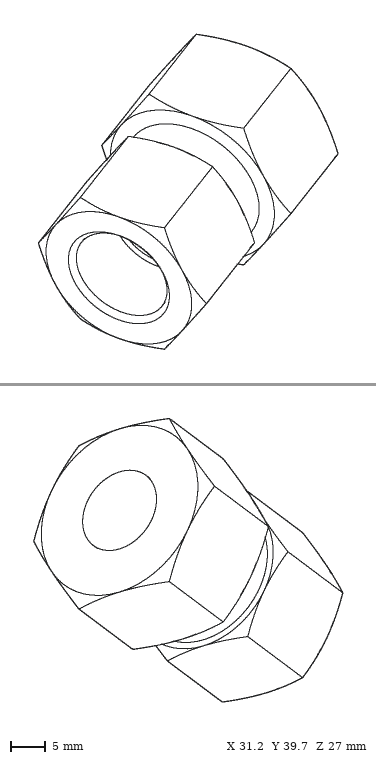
import cadquery as cq
import math

body_across_flats = 24.0
nut_across_flats = 27.0
hex_length = 17.0
hex_sides = 6
neck_length = 5.7
neck_diameter = 22.0
hex_chamfer_angle = 30.0

through_diameter = 12.75
socket_diameter = 14.95
socket_depth = 12.0
mouth_diameter = 16.66
mouth_chamfer_angle = 45.0

nut_start = hex_length + neck_length
total_length = nut_start + hex_length


def revolve_about_y(profile):
    """Solid of revolution about Y from (radius, y) points."""
    return cq.Workplane("XY").polyline(profile).close().revolve(360, (0, 0, 0), (0, 1, 0))


def cylinder_along_y(diameter, start, length):
    """Round solid running from start towards +Y."""
    return cq.Workplane("XZ", origin=(0, start, 0)).circle(diameter / 2).extrude(-length)


def chamfered_hexagon(across_flats, start):
    """Hexagonal prism with corners on +X and -X, conically chamfered at both ends."""
    flat_radius = across_flats / 2
    corner_radius = flat_radius / math.cos(math.pi / hex_sides)
    prism = (
        cq.Workplane("XZ", origin=(0, start, 0))
        .polygon(hex_sides, 2 * corner_radius)
        .extrude(-hex_length)
    )
    chamfer_depth = (corner_radius - flat_radius) * math.tan(math.radians(hex_chamfer_angle))
    end = start + hex_length
    envelope = revolve_about_y([
        (0, start),
        (flat_radius, start),
        (corner_radius, start + chamfer_depth),
        (corner_radius, end - chamfer_depth),
        (flat_radius, end),
        (0, end),
    ])
    return prism.intersect(envelope)


def stepped_bore():
    """Through bore with a wider socket and chamfered mouth at the front."""
    mouth_radius = mouth_diameter / 2
    socket_radius = socket_diameter / 2
    through_radius = through_diameter / 2
    mouth_depth = (mouth_radius - socket_radius) / math.tan(math.radians(mouth_chamfer_angle))
    return revolve_about_y([
        (0, 0),
        (mouth_radius, 0),
        (socket_radius, mouth_depth),
        (socket_radius, socket_depth),
        (through_radius, socket_depth),
        (through_radius, total_length),
        (0, total_length),
    ])


body = chamfered_hexagon(body_across_flats, 0)
neck = cylinder_along_y(neck_diameter, hex_length, neck_length)
nut = chamfered_hexagon(nut_across_flats, nut_start)

result = body.union(neck).union(nut).cut(stepped_bore())